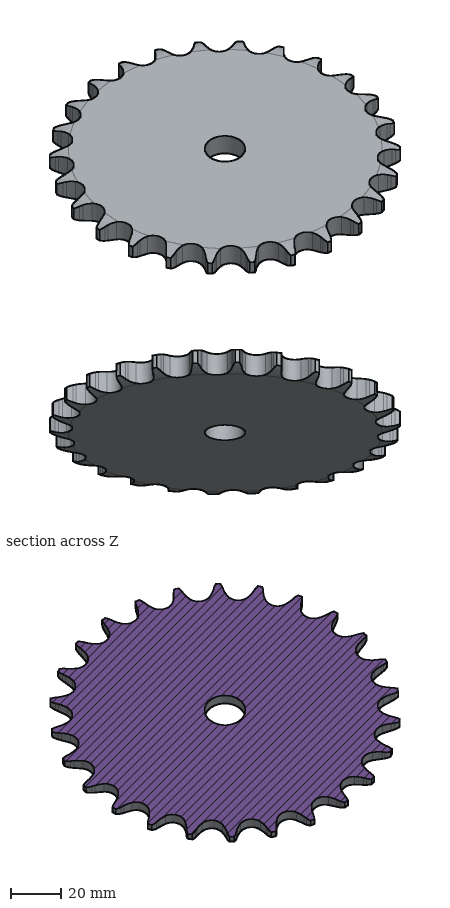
import cadquery as cq
import math


teeth = 26
tip_diameter = 139
width = 9.0
bore_diameter = 16.0
pitch_diameter = 131.6
roller_diameter = 10.1
seat_clearance = 0.05
relief_radius = 16.0
relief_radial_depth = 7.4

tip_radius = tip_diameter / 2
cutter_overrun = 1.4

half_pitch_angle = 180 / teeth
pitch_radius = pitch_diameter / 2
seat_radius = roller_diameter / 2 + seat_clearance
seat_angle = 35 + 60 / teeth
working_angle = 18 - 56 / teeth
straight_angle = seat_angle - working_angle
working_center_offset = 0.8 * roller_diameter
working_radius = seat_radius + working_center_offset
topping_center_offset = 1.4 * roller_diameter


def polar(center, radius, degrees):
    """Point at a given radius and direction from a centre."""
    angle = math.radians(degrees)
    return (center[0] + radius * math.cos(angle), center[1] + radius * math.sin(angle))


def mirrored(point):
    """Reflection across the vertical axis of the outline."""
    return (-point[0], point[1])


def lower(point):
    """Reflection across the horizontal axis of the outline."""
    return (point[0], -point[1])


def gap_cutter():
    """Space between two teeth, centred on the +Y axis."""
    roller_center = (0, pitch_radius)
    seat_bottom = (0, pitch_radius - seat_radius)
    seat_end = polar(roller_center, seat_radius, -seat_angle)

    working_center = polar(roller_center, working_center_offset, 180 - seat_angle)
    working_mid = polar(working_center, working_radius, working_angle / 2 - seat_angle)
    working_end = polar(working_center, working_radius, -straight_angle)

    topping_center = polar(roller_center, topping_center_offset, -half_pitch_angle)
    normal_x, normal_y = polar((0, 0), 1, -straight_angle)
    across = topping_center[0] - working_end[0]
    along = topping_center[1] - working_end[1]
    topping_radius = across * normal_x + along * normal_y
    topping_start_angle = 180 - straight_angle
    topping_start = polar(topping_center, topping_radius, topping_start_angle)

    cutter_top = tip_radius + cutter_overrun
    topping_end_angle = 180 - math.degrees(
        math.asin((cutter_top - topping_center[1]) / topping_radius)
    )
    topping_mid_angle = (topping_start_angle + topping_end_angle) / 2
    topping_mid = polar(topping_center, topping_radius, topping_mid_angle)
    topping_end = polar(topping_center, topping_radius, topping_end_angle)

    return (
        cq.Workplane("XY")
        .moveTo(*mirrored(topping_end))
        .threePointArc(mirrored(topping_mid), mirrored(topping_start))
        .lineTo(*mirrored(working_end))
        .threePointArc(mirrored(working_mid), mirrored(seat_end))
        .threePointArc(seat_bottom, seat_end)
        .threePointArc(working_mid, working_end)
        .lineTo(*topping_start)
        .threePointArc(topping_mid, topping_end)
        .close()
        .extrude(width / 2 + cutter_overrun, both=True)
    )


def blank():
    """Disc turned about Z, its faces curving in towards the tips as the side relief."""
    relief_start = tip_radius - relief_radial_depth
    relief_sweep = math.degrees(math.asin(relief_radial_depth / relief_radius))
    relief_center = (relief_start, width / 2 - relief_radius)
    relief_mid = polar(relief_center, relief_radius, 90 - relief_sweep / 2)
    relief_end = polar(relief_center, relief_radius, 90 - relief_sweep)
    bore_radius = bore_diameter / 2
    return (
        cq.Workplane("XZ")
        .moveTo(bore_radius, -width / 2)
        .lineTo(relief_start, -width / 2)
        .threePointArc(lower(relief_mid), lower(relief_end))
        .lineTo(*relief_end)
        .threePointArc(relief_mid, (relief_start, width / 2))
        .lineTo(bore_radius, width / 2)
        .close()
        .revolve(360, (0, 0, 0), (0, 1, 0))
    )


result = blank()
gap = gap_cutter()
for index in range(teeth):
    result = result.cut(gap.rotate((0, 0, 0), (0, 0, 1), index * 360 / teeth))